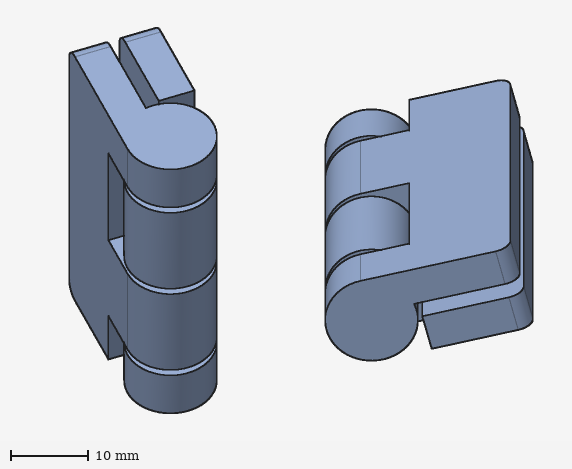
import cadquery as cq

height = 45.0
width = 26.0
knuckle_diameter = 12.0
leaf_thickness = 5.0
corner_radius = 2.0
pin_diameter = 6.0
axial_gap = 1.0
notch_clearance = 0.5
end_knuckle_length = 7.0

knuckle_radius = knuckle_diameter / 2
leaf_length = width - knuckle_radius
middle_knuckle_length = (height - 2 * end_knuckle_length - 3 * axial_gap) / 2

knuckle_spans = []
knuckle_start = 0.0
for length in (end_knuckle_length, middle_knuckle_length, middle_knuckle_length, end_knuckle_length):
    knuckle_spans.append((knuckle_start, length))
    knuckle_start += length + axial_gap


def make_block(x_start, x_end, z_start, length):
    """Box of leaf thickness lying against the -Y face of the hinge."""
    return (
        cq.Workplane("XY")
        .box(x_end - x_start, leaf_thickness, length, centered=False)
        .translate((x_start, -knuckle_radius, z_start))
    )


def make_front_leaf(spans):
    """Leaf on the -Y side, with a knuckle at each of the given spans."""
    plate_end = -knuckle_radius - notch_clearance
    leaf = make_block(-leaf_length, plate_end, 0, height)
    leaf = leaf.edges("|Y and <X").fillet(corner_radius)
    for start, length in spans:
        arm = make_block(plate_end, 0, start, length)
        barrel = cq.Workplane("XY").workplane(offset=start).circle(knuckle_radius).extrude(length)
        leaf = leaf.union(arm).union(barrel)
    return leaf


front_leaf = make_front_leaf(knuckle_spans[1::2])
back_leaf = make_front_leaf(knuckle_spans[0::2]).mirror("XZ")

pin = cq.Workplane("XY").circle(pin_diameter / 2).extrude(height)

result = front_leaf.union(back_leaf).union(pin)